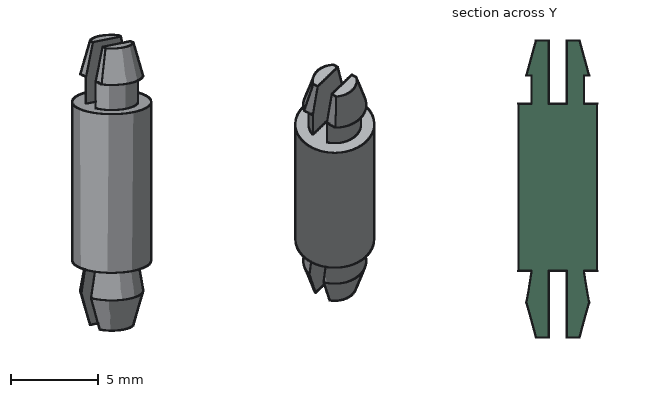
import cadquery as cq

body_diameter = 4.5
body_length = 9.5

root_diameter = 3.0
barb_diameter = 3.6
tip_diameter = 2.5
tip_length = 2.0
slot_width = 1.0

upper_neck_length = 1.6
lower_flare_length = 1.8

flat_base_width = (root_diameter**2 - slot_width**2) ** 0.5
flat_tip_width = 1.9

upper_barb_z = body_length + upper_neck_length
top_z = upper_barb_z + tip_length
lower_barb_z = -lower_flare_length
bottom_z = lower_barb_z - tip_length


def round_section(start_z, start_diameter, end_z, end_diameter):
    """Cylinder or cone about the Z axis between two heights."""
    start_radius = start_diameter / 2
    end_radius = end_diameter / 2
    profile = [(0, start_z), (start_radius, start_z), (end_radius, end_z), (0, end_z)]
    return cq.Workplane("XZ").polyline(profile).close().revolve(360, (0, 0, 0), (0, 1, 0))


def slot(start_z, end_z):
    """Slot along Y that splits an end into two prongs."""
    height = abs(end_z - start_z)
    middle_z = (start_z + end_z) / 2
    return cq.Workplane("XY").box(slot_width, body_diameter, height).translate((0, 0, middle_z))


def flat_sided_wedge():
    """Wedge tapering in Y towards the top, which trims the upper barb to its flats."""
    base = flat_base_width / 2
    tip = flat_tip_width / 2
    profile = [(-base, upper_barb_z), (base, upper_barb_z), (tip, top_z), (-tip, top_z)]
    return cq.Workplane("YZ").polyline(profile).close().extrude(barb_diameter, both=True)


def upper_end():
    neck = round_section(body_length, root_diameter, upper_barb_z, root_diameter)
    barb = round_section(upper_barb_z, barb_diameter, top_z, tip_diameter)
    barb = barb.intersect(flat_sided_wedge())
    return neck.cut(slot(body_length, top_z)).union(barb.cut(slot(body_length, top_z)))


def lower_end():
    flare = round_section(0, root_diameter, lower_barb_z, barb_diameter)
    barb = round_section(lower_barb_z, barb_diameter, bottom_z, tip_diameter)
    return flare.union(barb).cut(slot(bottom_z, 0))


body = round_section(0, body_diameter, body_length, body_diameter)
result = body.union(upper_end()).union(lower_end())